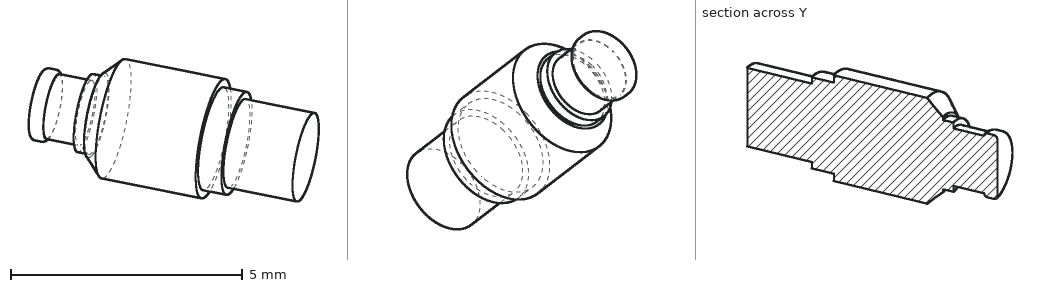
import cadquery as cq

overall_length = 6.05
lip_length = 0.33
neck_end = 1.065
collar_end = 1.32
cone_end = 1.7
body_end = 3.96
shoulder_end = 4.49

lip_diameter = 1.6
neck_diameter = 1.44
collar_diameter = 1.73
cone_start_diameter = 1.875
body_diameter = 2.64
shoulder_diameter = 2.275
tail_diameter = 1.96

lip_edge_radius = 0.095


def cylinder(start, end, diameter):
    """Solid cylinder along +X between two stations."""
    return cq.Workplane("YZ", origin=(start, 0, 0)).circle(diameter / 2).extrude(end - start)


def lip():
    """Snap lip at the nose, rounded on both edges."""
    disc = cylinder(0, lip_length, lip_diameter)
    return disc.edges("%CIRCLE").fillet(lip_edge_radius)


def body():
    """Main barrel with a conical front."""
    profile = [
        (collar_end, 0),
        (collar_end, cone_start_diameter / 2),
        (cone_end, body_diameter / 2),
        (body_end, body_diameter / 2),
        (body_end, 0),
    ]
    return cq.Workplane("XY").polyline(profile).close().revolve(360, (0, 0, 0), (1, 0, 0))


result = (
    lip()
    .union(cylinder(lip_length, neck_end, neck_diameter))
    .union(cylinder(neck_end, collar_end, collar_diameter))
    .union(body())
    .union(cylinder(body_end, shoulder_end, shoulder_diameter))
    .union(cylinder(shoulder_end, overall_length, tail_diameter))
)